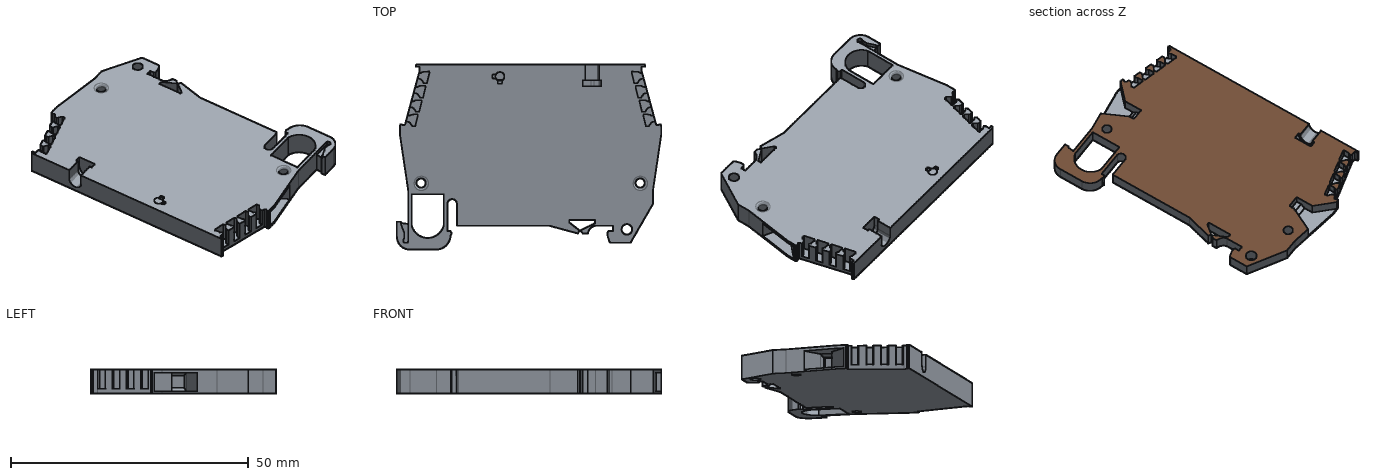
import cadquery as cq
import math

length = 55.65
height = 39.0
thickness = 5.05
through = thickness + 1.1
mid_x = 28.15

side_x = length - mid_x
slope_top_x = 4.8
slope_top_y = 37.6
shoulder_x = 1.7
shoulder_y = 26.3
side_bend_y = 24.1
leg_half_width = 25.75
leg_top_y = 12.45
rail_y = 5.0
rail_corner = 0.3

barb_tip_y = 3.4
relief_top = 6.25
relief_left = 36.35
relief_right = 41.7
slit_y = 4.05

catch_root_x = 45.45
catch_lip_y = 3.95
catch_bottom_y = 1.45
catch_end_x = 49.2
catch_corner_y = 9.6

groove_count = 4
groove_pitch_y = 3.0
groove_pitch_x = groove_pitch_y * (slope_top_x - shoulder_x) / (slope_top_y - shoulder_y)
groove_floor_z = 1.0

entry_top_y = 25.65
entry_bottom_y = 16.65
throat_top_y = 22.0
throat_bottom_y = 19.35
throat_mouth_y = 18.9
entry_depth = entry_top_y - throat_top_y
entry_floor_z = 0.45
entry_roof_z = 4.4
throat_floor_z = 1.2
throat_roof_z = 3.8
straight_depth = 2.0
taper_depth = 0.9
throat_depth = 1.1

screw_hole_offset = 23.05
screw_hole_y = 14.0
screw_hole_diameter = 1.9
screw_hole_rounding = 0.55

window_left = 3.15
window_right = 9.85
window_top = 11.65
window_arc_y = 5.05
window_bottom = 2.5
flex_slot_left = 10.7
flex_slot_right = 12.65
flex_slot_top = 10.65
hook_radius = 2.8
hook_flat_end = 8.3
hook_top_y = 5.9
hook_lip_y = 3.95
hook_gap_depth = 0.85

catch_hole_x = 48.4
catch_hole_y = 4.3
catch_hole_diameter = 2.15

channel_x = 41.1
channel_width = 2.95
channel_length = 3.35
head_width = 3.9
head_length = 1.2
head_flat_width = 0.55
channel_axis_z = thickness / 2

pin_x = 21.7
pin_y = 36.45
pin_radius = 0.95
pin_length = 1.65
facet_y = 0.65
facet_depth = 0.35
notch_width = 0.9
notch_reach = 1.55
notch_depth = facet_depth


def prism(sketch, z_low, z_high):
    """Extrude a closed XY outline between two levels."""
    return sketch.extrude(z_high - z_low).translate((0, 0, z_low))


def mirrored(solid):
    """The same shape on the other side of the housing's mirror line."""
    return solid.mirror("YZ", (mid_x, 0, 0))


def side_points():
    """Left side of the upper housing, from the top lip down to the leg."""
    return [
        (4.2, height),
        (4.0, 38.75),
        (4.05, 38.45),
        (slope_top_x, 38.45),
        (slope_top_x, slope_top_y),
        (shoulder_x, shoulder_y),
        (1.4, 26.2),
        (1.05, 26.4),
        (0.8, 26.4),
        (mid_x - side_x, 26.05),
        (mid_x - side_x, side_bend_y),
        (mid_x - leg_half_width, leg_top_y),
    ]


def plate():
    """Housing outline: sides, hooked foot, rail edge, snap barb and fixed catch."""
    left = side_points()
    right = [(2 * mid_x - x, y) for x, y in left]
    slot_radius = (flex_slot_right - flex_slot_left) / 2
    slot_middle = flex_slot_left + slot_radius
    slot_arc_y = flex_slot_top - slot_radius
    arc_mid = hook_radius * (1 - math.sqrt(0.5))
    corner_mid = rail_corner * (1 - math.sqrt(0.5))
    outline = cq.Workplane("XY").moveTo(*left[0])
    for point in left[1:]:
        outline = outline.lineTo(*point)
    outline = (
        outline
        .lineTo(mid_x - leg_half_width, 5.45)
        .lineTo(1.1, 5.6)
        .lineTo(0.9, hook_top_y)
        .lineTo(0, hook_top_y)
        .lineTo(0, hook_radius)
        .threePointArc((arc_mid, arc_mid), (hook_radius, 0))
        .lineTo(hook_flat_end, 0)
        .threePointArc((10.5, 1.0), (11.35, 3.0))
        .lineTo(11.6, 3.45)
        .lineTo(11.3, hook_lip_y)
        .lineTo(flex_slot_left, hook_lip_y)
        .lineTo(flex_slot_left, slot_arc_y)
        .threePointArc((slot_middle, flex_slot_top), (flex_slot_right, slot_arc_y))
        .lineTo(flex_slot_right, rail_y + rail_corner)
        .threePointArc(
            (flex_slot_right + corner_mid, rail_y + corner_mid),
            (flex_slot_right + rail_corner, rail_y),
        )
        .lineTo(32.15, rail_y)
        .lineTo(38.1, barb_tip_y)
        .lineTo(38.45, slit_y)
        .lineTo(relief_left, 5.75)
        .lineTo(relief_left, relief_top)
        .lineTo(relief_right, relief_top)
        .lineTo(relief_right, 5.55)
        .lineTo(38.55, slit_y)
        .lineTo(39.2, barb_tip_y)
        .lineTo(40.25, barb_tip_y)
        .threePointArc((40.8, 4.5), (41.75, rail_y))
        .lineTo(catch_root_x, rail_y)
        .lineTo(catch_root_x, catch_lip_y)
        .lineTo(44.6, catch_lip_y)
        .lineTo(44.3, 3.6)
        .lineTo(44.35, 2.85)
        .lineTo(44.7, 1.8)
        .threePointArc((44.85, 1.55), (45.2, catch_bottom_y))
        .lineTo(catch_end_x, catch_bottom_y)
        .lineTo(mid_x + leg_half_width, catch_corner_y)
    )
    for point in reversed(right):
        outline = outline.lineTo(*point)
    return prism(outline.close(), 0, thickness)


def comb_grooves():
    """Notched grooves that open to the sloped left side and to the top face."""
    profile = (
        cq.Workplane("XY")
        .moveTo(3.9, 37.6)
        .lineTo(4.75, 37.55)
        .lineTo(5.0, 37.2)
        .lineTo(5.6, 37.45)
        .lineTo(6.8, 37.5)
        .lineTo(6.9, 37.3)
        .lineTo(6.35, 35.0)
        .lineTo(5.75, 35.0)
        .lineTo(5.2, 35.8)
        .lineTo(4.85, 35.95)
        .lineTo(3.9, 35.95)
        .close()
    )
    groove = prism(profile, groove_floor_z, through)
    grooves = cq.Workplane("XY")
    for i in range(groove_count):
        grooves = grooves.union(groove.translate((-i * groove_pitch_x, -i * groove_pitch_y, 0)))
    return grooves


def wire_entry():
    """Funnel in the left side: two slanted walls, a taper and a square blind throat."""
    outer_x = mid_x - side_x
    bend_x = outer_x + entry_depth
    inner_x = bend_x + straight_depth
    side_slope = (side_x - leg_half_width) / (side_bend_y - leg_top_y)
    lower_x = outer_x + side_slope * (side_bend_y - entry_bottom_y)
    mouth = (
        cq.Workplane("XY")
        .moveTo(outer_x, entry_top_y)
        .lineTo(bend_x, throat_top_y)
        .lineTo(inner_x, throat_top_y)
        .lineTo(inner_x, throat_mouth_y)
        .lineTo(lower_x, entry_bottom_y)
        .lineTo(outer_x - 0.55, entry_bottom_y)
        .lineTo(outer_x - 0.55, entry_top_y)
        .close()
    )
    funnel = prism(mouth, entry_floor_z, entry_roof_z)
    wide = [
        (throat_mouth_y, entry_floor_z),
        (throat_top_y, entry_floor_z),
        (throat_top_y, entry_roof_z),
        (throat_mouth_y, entry_roof_z),
    ]
    narrow = [
        (throat_bottom_y, throat_floor_z),
        (throat_top_y, throat_floor_z),
        (throat_top_y, throat_roof_z),
        (throat_bottom_y, throat_roof_z),
    ]
    taper = (
        cq.Workplane("YZ", origin=(inner_x, 0, 0))
        .polyline(wide)
        .close()
        .workplane(offset=taper_depth)
        .polyline(narrow)
        .close()
        .loft(ruled=True)
    )
    throat = (
        cq.Workplane("YZ", origin=(inner_x + taper_depth, 0, 0))
        .polyline(narrow)
        .close()
        .extrude(throat_depth)
    )
    return funnel.union(taper).union(throat)


def screw_hole():
    """Through hole whose upper rim is rounded over."""
    radius = screw_hole_diameter / 2
    rim = radius + screw_hole_rounding
    top = thickness
    shift = screw_hole_rounding * math.sqrt(0.5)
    profile = (
        cq.Workplane("XZ")
        .moveTo(0, -0.55)
        .lineTo(radius, -0.55)
        .lineTo(radius, top - screw_hole_rounding)
        .threePointArc((rim - shift, top - screw_hole_rounding + shift), (rim, top))
        .lineTo(0, top)
        .close()
    )
    hole = profile.revolve(360, (0, 0, 0), (0, 1, 0))
    return hole.translate((mid_x - screw_hole_offset, screw_hole_y, 0))


def foot_window():
    """Through opening in the foot with a bowed lower edge."""
    middle = (window_left + window_right) / 2
    outline = (
        cq.Workplane("XY")
        .moveTo(window_left, window_top)
        .lineTo(window_left, window_arc_y)
        .threePointArc((middle, window_bottom), (window_right, window_arc_y))
        .lineTo(window_right, window_top)
        .close()
    )
    return prism(outline, -0.55, through)


def hook_gap():
    """Shallow gap between the hook tip and the leg."""
    outline = (
        cq.Workplane("XY")
        .moveTo(0.85, 6.1)
        .lineTo(0.85, 5.5)
        .lineTo(1.6, 3.5)
        .lineTo(1.6, 2.65)
        .lineTo(1.45, 2.1)
        .threePointArc((1.45, 1.6), (1.85, 1.45))
        .lineTo(2.2, 1.45)
        .lineTo(mid_x - leg_half_width, 1.7)
        .lineTo(mid_x - leg_half_width, 6.1)
        .close()
    )
    return prism(outline, thickness - hook_gap_depth, through)


def catch_hole():
    """Round through hole in the fixed catch."""
    circle = cq.Workplane("XY").center(catch_hole_x, catch_hole_y).circle(catch_hole_diameter / 2)
    return prism(circle, -0.55, through)


def round_channel(width, y_start, y_end):
    """Round-bottomed channel along Y, open to the top face."""
    size_y = y_end - y_start
    tube = (
        cq.Workplane("XZ", origin=(channel_x, y_end, channel_axis_z))
        .circle(width / 2)
        .extrude(size_y)
    )
    opening = cq.Workplane("XY").box(width, size_y, thickness, centered=(True, False, False))
    return tube.union(opening.translate((channel_x, y_start, channel_axis_z)))


def screw_channel():
    """Stepped channel: narrow for the shank, wide with a flat-bottomed strip for the head."""
    shank_y = height - channel_length
    head_y = shank_y - head_length
    radius = head_width / 2
    flat_drop = math.sqrt(radius**2 - (head_flat_width / 2) ** 2)
    floor_z = channel_axis_z - flat_drop
    keep = cq.Workplane("XY").box(2 * head_width, 2 * height, through, centered=(True, True, False))
    head = round_channel(head_width, head_y, shank_y)
    head = head.intersect(keep.translate((channel_x, 0, floor_z)))
    return head.union(round_channel(channel_width, shank_y, height + 0.55))


def pin_seat():
    """Blind hole for the pin with two shallow notches, toward -X and -Y."""
    bottom = thickness - pin_length
    hole = prism(cq.Workplane("XY").circle(pin_radius), bottom, thickness)
    notch = cq.Workplane("XY").box(notch_reach, notch_width, notch_depth, centered=(False, True, False))
    notch = notch.edges("|Z and >X").fillet(notch_width / 4)
    notch = notch.translate((0, 0, thickness - notch_depth))
    for angle in (180, 270):
        hole = hole.union(notch.rotate((0, 0, 0), (0, 0, 1), angle))
    return hole.translate((pin_x, pin_y, 0))


def build_housing():
    """Housing plate with all its openings."""
    body = plate()
    for side_cut in (comb_grooves(), wire_entry(), screw_hole()):
        body = body.cut(side_cut).cut(mirrored(side_cut))
    for cut in (foot_window(), hook_gap(), catch_hole(), screw_channel(), pin_seat()):
        body = body.cut(cut)
    return body.solids()


def build_pin():
    """Round pin, flush with the top face, with a sloped facet on its -Y side."""
    pin = prism(cq.Workplane("XY").circle(pin_radius), thickness - pin_length, thickness)
    facet = (
        cq.Workplane("YZ")
        .moveTo(-facet_y, thickness)
        .lineTo(-pin_radius, thickness - facet_depth)
        .lineTo(-pin_radius, thickness)
        .close()
        .extrude(pin_radius, both=True)
    )
    return pin.cut(facet).solids().translate((pin_x, pin_y, 0))


housing = build_housing()
pin = build_pin()
result = cq.Compound.makeCompound([housing.val(), pin.val()])